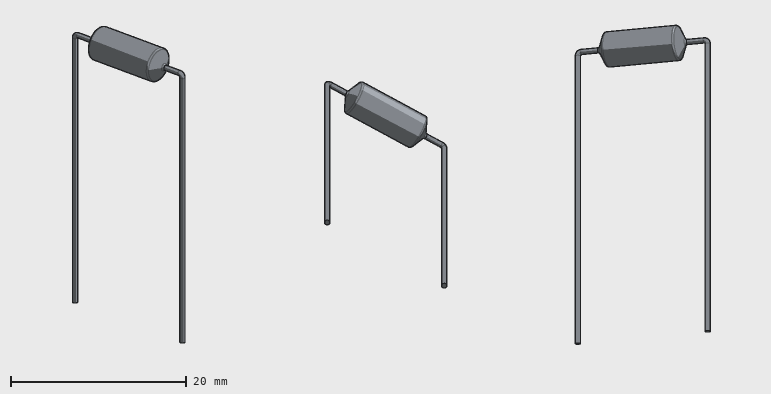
import cadquery as cq
import math

span = 16.25
total_height = 36.7
body_diameter = 4.07
lead_diameter = 0.62

body_half_length = 5.35
barrel_half_length = 4.15
round_radius = 0.25

bend_radius = 0.45

body_radius = body_diameter / 2
lead_radius = lead_diameter / 2
lead_x = span / 2 - lead_radius
lead_bottom = body_radius - total_height


def cone_slope():
    """Angle between the cone surface and the X axis.

    The two roundings have equal radii and opposite curvature, so the cone is
    the inner tangent of two circles whose centres are known.
    """
    run = body_half_length - barrel_half_length
    drop = body_radius - lead_radius - 2 * round_radius
    centre_distance = math.hypot(run, drop)
    return math.atan2(drop, run) + math.asin(2 * round_radius / centre_distance)


def make_body():
    """Revolve a profile about X whose two ends are mirror images."""
    slope = cone_slope()

    def on_shoulder(angle):
        return (
            barrel_half_length + round_radius * math.sin(angle),
            body_radius - round_radius * (1 - math.cos(angle)),
        )

    def on_tip(angle):
        return (
            body_half_length - round_radius * math.sin(angle),
            lead_radius + round_radius * (1 - math.cos(angle)),
        )

    profile = (
        cq.Workplane("XZ")
        .moveTo(-body_half_length, 0)
        .lineTo(body_half_length, 0)
        .lineTo(*on_tip(0))
        .threePointArc(on_tip(slope / 2), on_tip(slope))
        .lineTo(*on_shoulder(slope))
        .threePointArc(on_shoulder(slope / 2), on_shoulder(0))
    )

    def mirrored(point):
        return (-point[0], point[1])

    profile = (
        profile
        .lineTo(*mirrored(on_shoulder(0)))
        .threePointArc(mirrored(on_shoulder(slope / 2)), mirrored(on_shoulder(slope)))
        .lineTo(*mirrored(on_tip(slope)))
        .threePointArc(mirrored(on_tip(slope / 2)), mirrored(on_tip(0)))
        .close()
    )
    return profile.revolve(360, (0, 0, 0), (1, 0, 0))


def make_lead(side):
    """Round wire from the body tip outward, bent down; side is +1 or -1 along X."""
    bend_start = lead_x - bend_radius
    bend_middle = (
        side * (bend_start + bend_radius * math.sin(math.pi / 4)),
        bend_radius * (math.cos(math.pi / 4) - 1),
    )
    path = (
        cq.Workplane("XZ")
        .moveTo(side * body_half_length, 0)
        .lineTo(side * bend_start, 0)
        .threePointArc(bend_middle, (side * lead_x, -bend_radius))
        .lineTo(side * lead_x, lead_bottom)
    )
    section = cq.Workplane("YZ", origin=(side * body_half_length, 0, 0)).circle(lead_radius)
    return section.sweep(path)


body = make_body()
leads = [make_lead(side) for side in (-1, 1)]

result = cq.Compound.makeCompound([body.val(), *(lead.val() for lead in leads)])